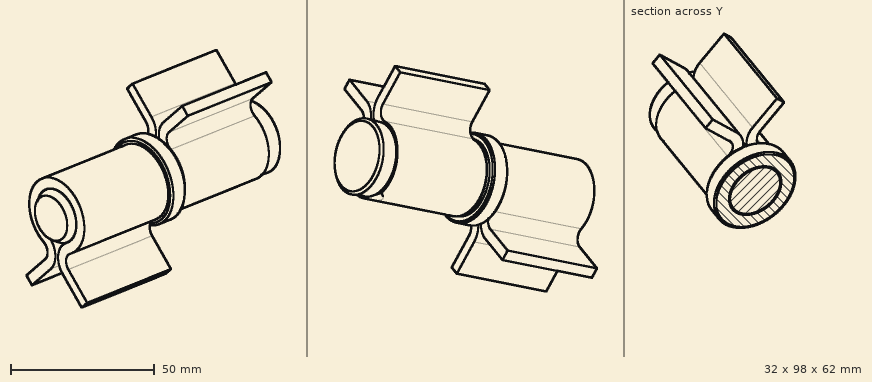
import math

import cadquery as cq

LENGTH = 98.0
FRONT_END = -LENGTH / 2
BACK_END = LENGTH / 2

SHEET = 4.0
KNUCKLE_RADIUS = 14.0
BORE_RADIUS = KNUCKLE_RADIUS - SHEET
KNUCKLE_LENGTH = 40.2
BEND_RADIUS = 4.0
NECK_HALF_GAP = 0.7
LEAF_REACH = 62.0 / 2
LEAF_ANGLE = math.radians(45)

PIN_RADIUS = 9.9
TIP_RADIUS = 8.2
TIP_LENGTH = 2.7
HEAD_LENGTH = 6.9
HEAD_BASE_RADIUS = 13.2
HEAD_RIM_RADIUS = 13.5
HEAD_END_RADIUS = 12.4
HEAD_CHAMFER_LENGTH = 1.0

COLLAR_RADIUS = 32.0 / 2
COLLAR_BORE_RADIUS = 10.1
COLLAR_CHAMFER = 0.6
COLLAR_FRONT_INSET = 1.0
COLLAR_BORE_CHAMFER = 0.3
SHOULDER_RADIUS = 27.5 / 2
SHOULDER_LENGTH = 1.4

FRONT_KNUCKLE_START = FRONT_END + TIP_LENGTH
COLLAR_START = FRONT_KNUCKLE_START + KNUCKLE_LENGTH
HEAD_START = BACK_END - HEAD_LENGTH
BACK_KNUCKLE_START = HEAD_START - KNUCKLE_LENGTH
SHOULDER_START = BACK_KNUCKLE_START - SHOULDER_LENGTH

BEVEL_DEPTH = 0.9
BEVEL_LENGTH = 3.9


def make_knuckle(start, side):
    """Rolled sheet with two splayed leaves; side is +1 for leaves up, -1 for leaves down."""
    bend_outer = BEND_RADIUS + SHEET
    bend_x = NECK_HALF_GAP + bend_outer
    center_distance = KNUCKLE_RADIUS + BEND_RADIUS
    bend_z = math.sqrt(center_distance**2 - bend_x**2)

    def on_barrel(radius):
        return (radius * bend_x / center_distance, radius * bend_z / center_distance)

    def on_bend(radius, angle):
        return (bend_x - radius * math.cos(angle), bend_z + radius * math.sin(angle))

    inner_leaf = on_bend(bend_outer, LEAF_ANGLE)
    run = (LEAF_REACH - inner_leaf[1]) / math.cos(LEAF_ANGLE)
    inner_tip = (inner_leaf[0] + run * math.sin(LEAF_ANGLE), LEAF_REACH)
    outer_tip = (
        inner_tip[0] + SHEET * math.cos(LEAF_ANGLE),
        inner_tip[1] - SHEET * math.sin(LEAF_ANGLE),
    )

    def right(point):
        return (point[0], side * point[1])

    def left(point):
        return (-point[0], side * point[1])

    outline = (
        cq.Workplane("XZ", origin=(0, start, 0))
        .moveTo(*right(on_barrel(KNUCKLE_RADIUS)))
        .threePointArc((0, -side * KNUCKLE_RADIUS), left(on_barrel(KNUCKLE_RADIUS)))
        .threePointArc(left(on_bend(BEND_RADIUS, 0)), left(on_bend(BEND_RADIUS, LEAF_ANGLE)))
        .lineTo(*left(outer_tip))
        .lineTo(*left(inner_tip))
        .lineTo(*left(inner_leaf))
        .threePointArc(left(on_bend(bend_outer, 0)), left(on_barrel(BORE_RADIUS)))
        .threePointArc((0, -side * BORE_RADIUS), right(on_barrel(BORE_RADIUS)))
        .threePointArc(right(on_bend(bend_outer, 0)), right(inner_leaf))
        .lineTo(*right(inner_tip))
        .lineTo(*right(outer_tip))
        .lineTo(*right(on_bend(BEND_RADIUS, LEAF_ANGLE)))
        .threePointArc(right(on_bend(BEND_RADIUS, 0)), right(on_barrel(KNUCKLE_RADIUS)))
        .close()
    )
    return outline.extrude(-KNUCKLE_LENGTH)


def make_end_bevel():
    """Wedge that trims the underside of the back knuckle next to the pin head."""
    return (
        cq.Workplane("YZ")
        .moveTo(HEAD_START - BEVEL_LENGTH, -KNUCKLE_RADIUS)
        .lineTo(HEAD_START, BEVEL_DEPTH - KNUCKLE_RADIUS)
        .lineTo(HEAD_START, -KNUCKLE_RADIUS)
        .close()
        .extrude(KNUCKLE_RADIUS, both=True)
    )


def revolve_about_y(profile):
    """Revolve a closed (radius, y) profile about the hinge axis."""
    return cq.Workplane("XY").polyline(profile).close().revolve(360, (0, 0, 0), (0, 1, 0))


def make_pin():
    """Pin with a tapered tip and a slightly flared, chamfered head."""
    return revolve_about_y([
        (0, FRONT_END),
        (TIP_RADIUS, FRONT_END),
        (PIN_RADIUS, FRONT_KNUCKLE_START),
        (PIN_RADIUS, HEAD_START),
        (HEAD_BASE_RADIUS, HEAD_START),
        (HEAD_RIM_RADIUS, BACK_END - HEAD_CHAMFER_LENGTH),
        (HEAD_END_RADIUS, BACK_END),
        (0, BACK_END),
    ])


def make_collar():
    """Chamfered spacer ring with a narrower shoulder against the back knuckle."""
    return revolve_about_y([
        (COLLAR_BORE_RADIUS, COLLAR_START + COLLAR_BORE_CHAMFER),
        (COLLAR_BORE_RADIUS + COLLAR_BORE_CHAMFER, COLLAR_START),
        (COLLAR_RADIUS - COLLAR_FRONT_INSET, COLLAR_START),
        (COLLAR_RADIUS, COLLAR_START + COLLAR_CHAMFER),
        (COLLAR_RADIUS, SHOULDER_START - COLLAR_CHAMFER),
        (COLLAR_RADIUS - COLLAR_CHAMFER, SHOULDER_START),
        (SHOULDER_RADIUS, SHOULDER_START),
        (SHOULDER_RADIUS, BACK_KNUCKLE_START),
        (COLLAR_BORE_RADIUS, BACK_KNUCKLE_START),
    ])


front_knuckle = make_knuckle(FRONT_KNUCKLE_START, -1)
back_knuckle = make_knuckle(BACK_KNUCKLE_START, 1).cut(make_end_bevel())
pin = make_pin()
collar = make_collar()

result = cq.Compound.makeCompound([
    front_knuckle.val(),
    back_knuckle.val(),
    pin.val(),
    collar.val(),
])